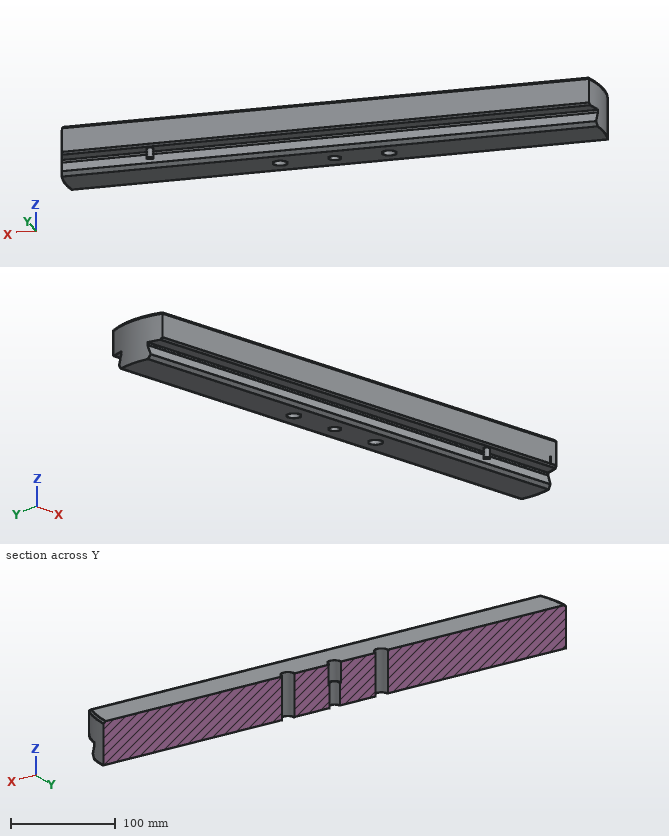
import cadquery as cq

length = 532.5
width = 68.0
height = 45.0
end_crown = 6.5

edge_chamfer = 2.0
head_height = 28.0
neck_half_width = 18.0
neck_height = 2.5
rail_half_width = 22.0
rail_widest_depth = 41.0
foot_half_width = 18.5

hole_pitch = 54.0
hole_diameter = 14.0
centre_hole_diameter = 11.5
centre_recess_diameter = 14.0
centre_recess_depth = 21.5

pin_diameter = 6.5
pin_length = 9.5
pin_x = 175.0
pin_y = 26.5

mark_x = 252.5
mark_width = 0.5
mark_depth = 0.5
mark_height = 7.0


def crowned_bar():
    """Bar with convex arc ends and a chamfered top edge."""
    half_length = length / 2
    corner_x = half_length - end_crown
    half_width = width / 2
    return (
        cq.Workplane("XY")
        .moveTo(-corner_x, -half_width)
        .lineTo(corner_x, -half_width)
        .threePointArc((half_length, 0), (corner_x, half_width))
        .lineTo(-corner_x, half_width)
        .threePointArc((-half_length, 0), (-corner_x, -half_width))
        .close()
        .extrude(-height)
        .faces(">Z")
        .chamfer(edge_chamfer)
    )


def dovetail_section():
    """Head and dovetail rail profile swept along the whole bar."""
    half_width = width / 2
    half_profile = [
        (half_width, 0),
        (half_width, edge_chamfer - head_height),
        (half_width - edge_chamfer, -head_height),
        (neck_half_width, -head_height),
        (neck_half_width, -head_height - neck_height),
        (rail_half_width, -rail_widest_depth),
        (foot_half_width, -height),
    ]
    mirrored_profile = [(-y, z) for y, z in reversed(half_profile)]
    return (
        cq.Workplane("YZ")
        .polyline(half_profile + mirrored_profile)
        .close()
        .extrude(length / 2, both=True)
    )


def side_pins():
    """Pair of round pins, rooted inside the head."""
    return (
        cq.Workplane("XY", origin=(0, 0, -head_height - pin_length))
        .pushPoints([(pin_x, -pin_y), (pin_x, pin_y)])
        .circle(pin_diameter / 2)
        .extrude(2 * pin_length)
    )


def reference_mark():
    """Cutter for the short vertical line at the lower edge of the front face."""
    return cq.Workplane("XY").box(mark_width, 2 * mark_depth, mark_height).translate(
        (mark_x, -width / 2, edge_chamfer - head_height + mark_height / 2)
    )


result = crowned_bar().intersect(dovetail_section())
result = result.union(side_pins())
result = result.cut(reference_mark())

top = cq.Workplane("XY")
outer_holes = top.pushPoints([(-hole_pitch, 0), (hole_pitch, 0)]).circle(hole_diameter / 2).extrude(-height)
centre_hole = top.circle(centre_hole_diameter / 2).extrude(-height)
centre_recess = top.circle(centre_recess_diameter / 2).extrude(-centre_recess_depth)
result = result.cut(outer_holes).cut(centre_hole).cut(centre_recess)